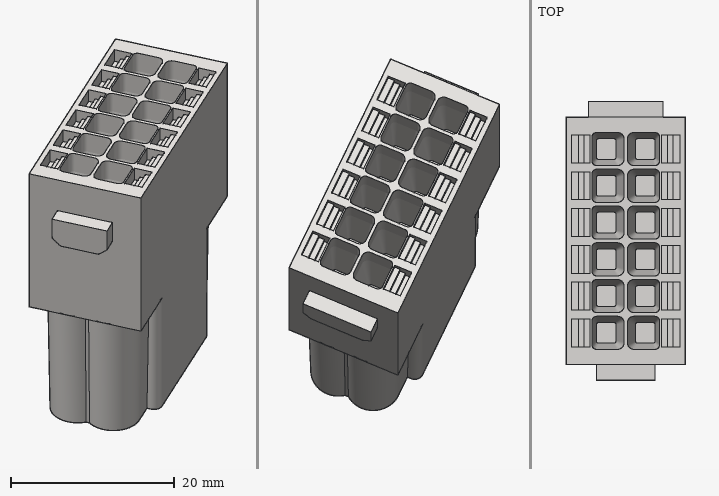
import cadquery as cq
import math

TOTAL_HEIGHT = 36.25
HOUSING_X = 14.6
HOUSING_Y = 30.27
PLUG_HEIGHT = 16.25
HOUSING_HEIGHT = TOTAL_HEIGHT - PLUG_HEIGHT

TAB_REACH = 1.92
TAB_WIDTH_FRONT = 7.18
TAB_WIDTH_BACK = 9.15
TAB_TOP = 31.65
TAB_BOTTOM = 27.88
TAB_CHAMFER_X = 1.1
TAB_CHAMFER_Z = 0.95

SLAB_Y = 17.6
SLAB_FILLET = 1.1
TUBE_X = 2.32
TUBE_Y = 11.45
TUBE_RADIUS_TOP = 3.65
TUBE_RADIUS_BOTTOM = 3.4
BRIDGE_HALF_WIDTH = 0.2

ROWS = 6
ROW_PITCH = 4.5
ROW_POSITIONS = [(row - (ROWS - 1) / 2) * ROW_PITCH for row in range(ROWS)]

CAVITY_X = 2.18
CAVITY_SIZE_X = 3.95
CAVITY_SIZE_Y = 4.05
CAVITY_INNER_CORNER = 0.85
CAVITY_OUTER_CORNER = 0.6
CAVITY_DEPTH = 2.75
FLOOR_X = 2.4
FLOOR_SIZE_X = 2.43
FLOOR_SIZE_Y = 2.55
FLOOR_CORNER = 0.3
FUNNEL_DEPTH = 5.45

SLOT_INNER = 4.35
SLOT_OUTER = 6.65
SLOT_LENGTH = 3.4
SLOT_STEP_WIDTH = 0.72
SLOT_STEPS = 3
SLOT_STEP_DROP = 0.58


def make_housing():
    return cq.Workplane("XY", origin=(0, 0, PLUG_HEIGHT)).box(
        HOUSING_X, HOUSING_Y, HOUSING_HEIGHT, centered=(True, True, False)
    )


def make_tab(width, side):
    """Locking tab with chamfered lower corners; side is +1 or -1 along Y."""
    half = width / 2
    end_y = HOUSING_Y / 2 + TAB_REACH
    outline = [
        (-half, TAB_TOP),
        (half, TAB_TOP),
        (half, TAB_BOTTOM + TAB_CHAMFER_Z),
        (half - TAB_CHAMFER_X, TAB_BOTTOM),
        (-half + TAB_CHAMFER_X, TAB_BOTTOM),
        (-half, TAB_BOTTOM + TAB_CHAMFER_Z),
    ]
    return cq.Workplane("XZ").polyline(outline).close().extrude(-side * end_y)


def draw_plug_outline(plane, radius):
    """Side flats joined by a pair of arcs at each end, with a narrow bridge between the arcs."""
    side_x = TUBE_X + radius
    bridge_y = TUBE_Y + math.sqrt(radius**2 - (TUBE_X - BRIDGE_HALF_WIDTH) ** 2)
    crown_y = TUBE_Y + radius
    return (
        plane.moveTo(side_x, -TUBE_Y)
        .lineTo(side_x, TUBE_Y)
        .threePointArc((TUBE_X, crown_y), (BRIDGE_HALF_WIDTH, bridge_y))
        .lineTo(-BRIDGE_HALF_WIDTH, bridge_y)
        .threePointArc((-TUBE_X, crown_y), (-side_x, TUBE_Y))
        .lineTo(-side_x, -TUBE_Y)
        .threePointArc((-TUBE_X, -crown_y), (-BRIDGE_HALF_WIDTH, -bridge_y))
        .lineTo(BRIDGE_HALF_WIDTH, -bridge_y)
        .threePointArc((TUBE_X, -crown_y), (side_x, -TUBE_Y))
        .close()
    )


def make_plug():
    slab = (
        cq.Workplane("XY")
        .box(HOUSING_X, SLAB_Y, PLUG_HEIGHT, centered=(True, True, False))
        .edges("|Z")
        .fillet(SLAB_FILLET)
    )
    bottom = draw_plug_outline(cq.Workplane("XY"), TUBE_RADIUS_BOTTOM)
    top = draw_plug_outline(bottom.workplane(offset=PLUG_HEIGHT), TUBE_RADIUS_TOP)
    return slab.union(top.loft(ruled=True))


def rounded_rectangle(size_x, size_y, left_corner, right_corner):
    """Rectangle with one corner radius on its -X side and another on its +X side."""
    return (
        cq.Sketch()
        .rect(size_x, size_y)
        .vertices("<X")
        .fillet(left_corner)
        .reset()
        .vertices(">X")
        .fillet(right_corner)
        .reset()
    )


def make_cavity(side):
    """One cavity centred on Y = 0; side is +1 or -1 along X."""
    corners = (CAVITY_INNER_CORNER, CAVITY_OUTER_CORNER)[::side]
    mouth = rounded_rectangle(CAVITY_SIZE_X, CAVITY_SIZE_Y, *corners)
    floor = rounded_rectangle(FLOOR_SIZE_X, FLOOR_SIZE_Y, FLOOR_CORNER, FLOOR_CORNER)
    funnel_top = TOTAL_HEIGHT - CAVITY_DEPTH
    mouth_plane = cq.Workplane("XY", origin=(side * CAVITY_X, 0, funnel_top))
    straight = mouth_plane.placeSketch(mouth).extrude(CAVITY_DEPTH)
    floor_offset = cq.Location(cq.Vector(side * (FLOOR_X - CAVITY_X), 0, -FUNNEL_DEPTH))
    funnel = mouth_plane.placeSketch(mouth, floor.moved(floor_offset)).loft()
    return straight.union(funnel)


def make_slot(side):
    """One stepped slot centred on Y = 0; side is +1 or -1 along X."""
    half_length = SLOT_LENGTH / 2
    low_x, high_x = sorted((side * SLOT_INNER, side * SLOT_OUTER))
    inner_x = side * SLOT_INNER
    riser_xs = sorted(inner_x + side * SLOT_STEP_WIDTH * step for step in range(1, SLOT_STEPS))
    outline = [(low_x, TOTAL_HEIGHT)]
    tread_start = low_x
    for step, tread_end in enumerate(riser_xs + [high_x]):
        tread_z = TOTAL_HEIGHT - SLOT_STEP_DROP * (SLOT_STEPS - step)
        outline.append((tread_start, tread_z))
        outline.append((tread_end, tread_z))
        tread_start = tread_end
    outline.append((high_x, TOTAL_HEIGHT))
    return cq.Workplane("XZ").polyline(outline).close().extrude(half_length, both=True)


result = make_housing().union(make_plug())
result = result.union(make_tab(TAB_WIDTH_FRONT, -1)).union(make_tab(TAB_WIDTH_BACK, 1))
for side in (-1, 1):
    for make_recess in (make_cavity, make_slot):
        recess = make_recess(side)
        for row_y in ROW_POSITIONS:
            result = result.cut(recess.translate((0, row_y, 0)))